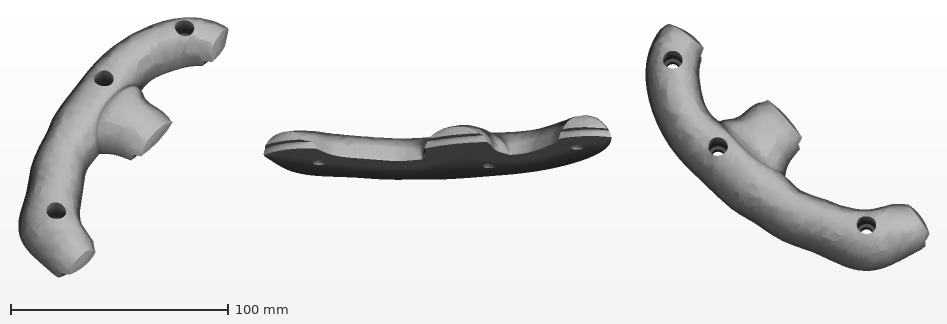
import cadquery as cq

ARM_HEIGHT = 15.0
HUB_HEIGHT = 15.3
LIP_HEIGHT = 3.2
LIP_OVERHANG = 3.2
END_LEAN = 25.0
RIM_HEIGHT = 0.8
ROOT_DEPTH = 1.6
CUTTER_REACH = 12.9
BAND_SIZE = 241.2
TRIM_HEIGHT = 19.3

HOLE_DIAMETER = 6.0
COUNTERBORE_DIAMETER = 9.0
COUNTERBORE_FLOOR = 3.2
HOLE_CENTRES = [(-2.7, 62.0), (-17.0, 16.5), (6.5, -58.0)]

ARM_SECTIONS = [
    ((9.6, 80.5), (18.5, 60.8), 7.4),
    ((0.8, 78.8), (11.3, 57.1), 12.2),
    ((-10.0, 72.4), (4.8, 52.3), 14.3),
    ((-21.4, 58.0), (-1.5, 43.5), ARM_HEIGHT),
    ((-28.3, 41.0), (-4.8, 34.9), ARM_HEIGHT),
    ((-30.7, 20.5), (-3.5, 20.5), HUB_HEIGHT),
    ((-30.4, 4.8), (-1.6, 4.8), HUB_HEIGHT),
    ((-28.6, -11.5), (-1.0, -13.7), ARM_HEIGHT),
    ((-24.8, -29.1), (1.6, -27.3), ARM_HEIGHT),
    ((-19.3, -42.6), (7.2, -38.6), ARM_HEIGHT),
    ((-14.2, -55.0), (13.7, -48.5), ARM_HEIGHT),
    ((-7.2, -68.8), (20.9, -53.0), 14.3),
    ((6.1, -76.9), (26.4, -56.1), 12.2),
    ((16.0, -79.5), (29.7, -59.5), 10.3),
    ((28.1, -78.8), (33.8, -62.7), 6.5),
]

END_ARCS = [
    ((7.5, 83.6), (14.8, 66.7), (13.3, 55.5)),
    ((17.0, 27.3), (19.0, 8.8), (15.3, -9.6)),
    ((27.2, -52.9), (30.5, -66.9), (24.8, -82.0)),
]

LOBE_SECTIONS = [
    (-9.6, -11.3, 25.7, 12.9),
    (-1.6, -11.9, 27.0, 14.8),
    (2.4, -9.0, 24.8, 13.8),
    (6.5, -7.4, 24.3, 12.5),
    (12.9, -6.3, 23.8, 10.0),
    (20.1, -5.1, 23.6, 6.1),
]

DOME_PROFILE = [(0.09, 0.53), (0.27, 0.89), (0.5, 1.0), (0.73, 0.89), (0.91, 0.53)]


def dome_section(foot_a, foot_b, crown):
    """Flat-bottomed domed wire standing upright on two foot points."""
    start = cq.Vector(*foot_a, -ROOT_DEPTH)
    span = cq.Vector(*foot_b, -ROOT_DEPTH) - start
    rise = cq.Vector(0, 0, 1)
    rim_a = start + rise * (ROOT_DEPTH + RIM_HEIGHT)
    rim_b = start + span + rise * (ROOT_DEPTH + RIM_HEIGHT)
    crest = [start + span * across + rise * (ROOT_DEPTH + crown * up) for across, up in DOME_PROFILE]
    return cq.Wire.assembleEdges([
        cq.Edge.makeLine(start, rim_a),
        cq.Edge.makeSpline([rim_a] + crest + [rim_b]),
        cq.Edge.makeLine(rim_b, start + span),
        cq.Edge.makeLine(start + span, start),
    ])


def arm():
    return cq.Workplane(cq.Solid.makeLoft([dome_section(*section) for section in ARM_SECTIONS]))


def lobe():
    wires = [dome_section((x, low), (x, high), crown) for x, low, high, crown in LOBE_SECTIONS]
    return cq.Workplane(cq.Solid.makeLoft(wires))


def band(body, bottom, top):
    """Horizontal slice of a body between two heights."""
    slab = cq.Workplane("XY", origin=(0, 0, bottom)).rect(BAND_SIZE, BAND_SIZE).extrude(top - bottom)
    return body.intersect(slab)


def end_cutter(arc_points, inset, bottom, top, lean):
    """Block on the +X side of an end arc, leaning back over the part by an angle."""
    first, middle, last = arc_points
    return (
        cq.Workplane("XY", origin=(-inset, 0, bottom))
        .moveTo(*first)
        .threePointArc(middle, last)
        .lineTo(middle[0] + CUTTER_REACH, last[1])
        .lineTo(middle[0] + CUTTER_REACH, first[1])
        .close()
        .extrude(top - bottom, taper=-lean)
    )


def trim_ends(body):
    """Round each end in plan; the lower band is set back to leave a lip."""
    lower = band(body, 0, LIP_HEIGHT)
    upper = band(body, LIP_HEIGHT, TRIM_HEIGHT)
    for arc_points in END_ARCS:
        lower = lower.cut(end_cutter(arc_points, LIP_OVERHANG, -ROOT_DEPTH, TRIM_HEIGHT, 0))
        upper = upper.cut(end_cutter(arc_points, 0, LIP_HEIGHT, TRIM_HEIGHT, END_LEAN))
    return lower.union(upper)


def drill(body):
    for x, y in HOLE_CENTRES:
        hole = cq.Workplane("XY").center(x, y).circle(HOLE_DIAMETER / 2).extrude(TRIM_HEIGHT)
        counterbore = (
            cq.Workplane("XY", origin=(x, y, COUNTERBORE_FLOOR))
            .circle(COUNTERBORE_DIAMETER / 2)
            .extrude(TRIM_HEIGHT)
        )
        body = body.cut(hole).cut(counterbore)
    return body


result = drill(trim_ends(arm().union(lobe())))